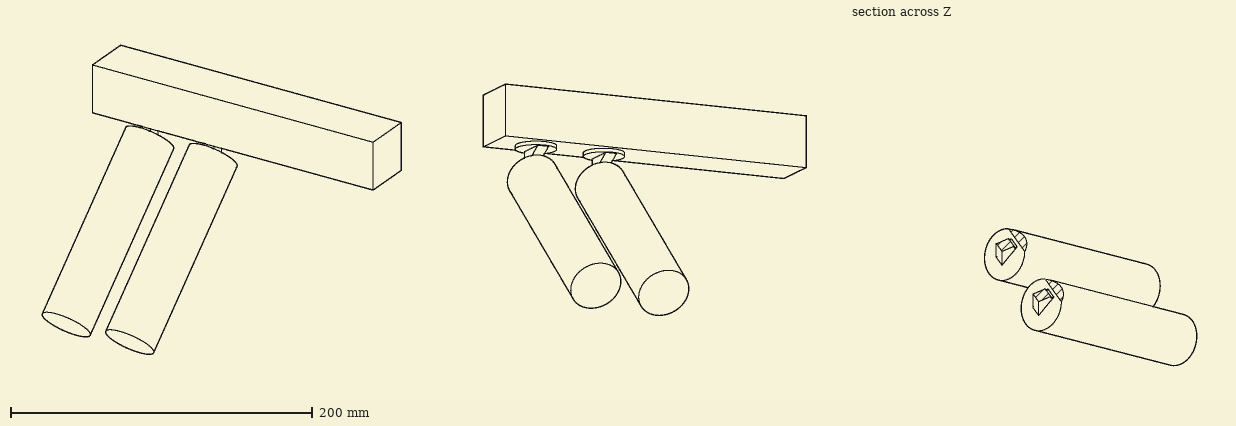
import cadquery as cq
import math


bar_length = 220.0
bar_width = 35.5
bar_height = 35.5
bar_center_y = -bar_width / 2

lamp_pitch = 49.7
first_lamp_x = -79.6
lamp_count = 2

plate_diameter = 27.5
plate_thickness = 2.5
plate_bottom_z = -bar_height - plate_thickness

bracket_thickness = 8.0
bracket_rear_y = -8.0
bracket_front_y = -29.3
bracket_neck_y = -17.4
neck_top_z = -44.5
neck_bottom_z = -48.0
bracket_embed = 1.0

lamp_diameter = 35.0
lamp_length = 140.1
lamp_pitch_angle = 43.0
lamp_side_drift = 1.0
lamp_end_y = -12.0
lamp_end_z = -55.9


def make_bar():
    return (
        cq.Workplane("XY")
        .center(0, bar_center_y)
        .rect(bar_length, bar_width)
        .extrude(-bar_height)
    )


def make_plate(x):
    return (
        cq.Workplane("XY", origin=(x, bar_center_y, plate_bottom_z))
        .circle(plate_diameter / 2)
        .extrude(plate_thickness)
    )


def make_bracket(x):
    def end_face_z(y):
        return lamp_end_z - (y - lamp_end_y) / math.tan(math.radians(lamp_pitch_angle))

    def end_face_y(z):
        return lamp_end_y - (z - lamp_end_z) * math.tan(math.radians(lamp_pitch_angle))

    profile = [
        (bracket_rear_y, plate_bottom_z),
        (bracket_rear_y, end_face_z(bracket_rear_y)),
        (bracket_rear_y - bracket_embed, end_face_z(bracket_rear_y) - bracket_embed),
        (end_face_y(neck_bottom_z) - bracket_embed, neck_bottom_z - bracket_embed),
        (end_face_y(neck_bottom_z), neck_bottom_z),
        (bracket_neck_y, neck_bottom_z),
        (bracket_neck_y, neck_top_z),
        (bracket_front_y, plate_bottom_z),
    ]
    return (
        cq.Workplane("YZ", origin=(x, 0, 0))
        .polyline(profile)
        .close()
        .extrude(bracket_thickness / 2, both=True)
    )


def make_lamp_body(x):
    angle = math.radians(lamp_pitch_angle)
    axis = cq.Vector(
        -lamp_side_drift / lamp_length,
        -math.cos(angle),
        -math.sin(angle),
    )
    end_center = cq.Vector(x, lamp_end_y, lamp_end_z)
    return cq.Workplane(cq.Solid.makeCylinder(lamp_diameter / 2, lamp_length, end_center, axis))


result = make_bar()
for index in range(lamp_count):
    lamp_x = first_lamp_x + index * lamp_pitch
    result = result.union(make_plate(lamp_x))
    result = result.union(make_bracket(lamp_x))
    result = result.union(make_lamp_body(lamp_x))